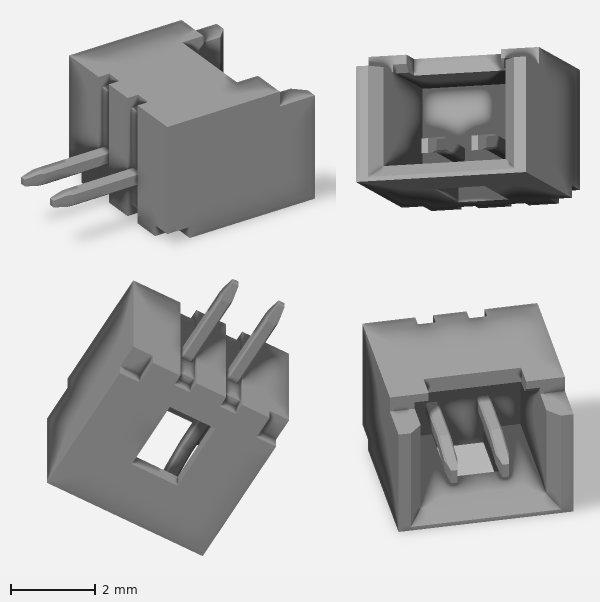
import cadquery as cq
import math


WIDTH = 4.25
DEPTH = 4.2
HEIGHT = 3.2
STEP_DEPTH = 1.0
STEP_HEIGHT = 0.4
WINDOW_WIDTH = 2.365
WINDOW_DEPTH = 1.6
FOOT_NOTCH_WIDTH = 0.53
FOOT_NOTCH_DEPTH = 0.64
FOOT_NOTCH_HEIGHT = 0.3

CAVITY_WIDTH = 3.05
FLOOR = 0.4
CAVITY_TOP = HEIGHT - STEP_HEIGHT
REAR_WALL = 0.9
MOUTH_CHAMFER = 0.3
ROOF_CHAMFER = 0.18
SLOT_START = 1.45

PITCH = 1.25
PIN_X = [-PITCH / 2, PITCH / 2]
PIN_Z = 1.15
PIN_LENGTH = 5.8
PIN_TIP_SETBACK = 0.7
PIN_WIDTH = 0.32
PIN_HEIGHT = 0.36
PIN_EDGE_CHAMFER = 0.045
TIP_WIDTH = 0.16
TIP_HEIGHT = 0.18
REAR_TIP_LENGTH = 0.5
FRONT_TIP_LENGTH = 0.4
BEND_Y = 2.34
BEND_ANGLE = 11.5
PIN_FRONT = DEPTH - PIN_TIP_SETBACK
PIN_REAR = PIN_FRONT - PIN_LENGTH
BEND_DROP = (PIN_FRONT - BEND_Y) * math.tan(math.radians(BEND_ANGLE))

GROOVE_WIDTH = 0.435
GROOVE_DEPTH = 0.3
STRIP_RECESS = 0.1
STRIP_END_GAP = 0.3


def block(x_range, y_range, z_range):
    """Box spanning the given (low, high) ranges."""
    (x0, x1), (y0, y1), (z0, z1) = x_range, y_range, z_range
    return cq.Workplane("XY").box(x1 - x0, y1 - y0, z1 - z0, centered=False).translate((x0, y0, z0))


def centered(width, middle=0):
    """Range of the given width about a middle value."""
    return (middle - width / 2, middle + width / 2)


def make_cavity():
    """Space inside the shroud, flared at the mouth and along the front edge of the roof."""
    pocket = block(centered(CAVITY_WIDTH), (REAR_WALL, DEPTH), (FLOOR, CAVITY_TOP))
    mouth_height = CAVITY_TOP - FLOOR
    middle_z = (CAVITY_TOP + FLOOR) / 2
    mouth = (
        cq.Workplane("XZ", origin=(0, DEPTH, middle_z))
        .rect(CAVITY_WIDTH + 2 * MOUTH_CHAMFER, mouth_height + 2 * MOUTH_CHAMFER)
        .workplane(offset=MOUTH_CHAMFER)
        .rect(CAVITY_WIDTH, mouth_height)
        .loft(ruled=True)
    )
    step_y = DEPTH - STEP_DEPTH
    roof_lead_in = (
        cq.Workplane("YZ", origin=(-CAVITY_WIDTH / 2, 0, 0))
        .moveTo(step_y, CAVITY_TOP)
        .lineTo(step_y, CAVITY_TOP + ROOF_CHAMFER)
        .lineTo(step_y - ROOF_CHAMFER, CAVITY_TOP)
        .close()
        .extrude(CAVITY_WIDTH)
    )
    return pocket.union(mouth).union(roof_lead_in)


def make_pin(x):
    """Bar with chamfered edges whose front end leans down, tapered at both tips."""
    def section(y, z):
        half_width, half_height, cut = PIN_WIDTH / 2, PIN_HEIGHT / 2, PIN_EDGE_CHAMFER
        corners = [
            (half_width, half_height - cut),
            (half_width - cut, half_height),
            (cut - half_width, half_height),
            (-half_width, half_height - cut),
            (-half_width, cut - half_height),
            (cut - half_width, -half_height),
            (half_width - cut, -half_height),
            (half_width, cut - half_height),
        ]
        points = [cq.Vector(x + dx, y, z + dz) for dx, dz in corners]
        return cq.Wire.makePolygon(points, close=True)

    tail = cq.Solid.makeLoft([section(PIN_REAR, PIN_Z), section(BEND_Y, PIN_Z)], True)
    lean = cq.Solid.makeLoft([section(BEND_Y, PIN_Z), section(PIN_FRONT, PIN_Z - BEND_DROP)], True)
    bar = cq.Workplane(obj=tail).union(cq.Workplane(obj=lean))

    plan = cq.Workplane("XY", origin=(x, 0, 0)).polyline([
        (-TIP_WIDTH / 2, PIN_REAR),
        (TIP_WIDTH / 2, PIN_REAR),
        (PIN_WIDTH / 2, PIN_REAR + REAR_TIP_LENGTH),
        (PIN_WIDTH / 2, PIN_FRONT - FRONT_TIP_LENGTH),
        (TIP_WIDTH / 2, PIN_FRONT),
        (-TIP_WIDTH / 2, PIN_FRONT),
        (-PIN_WIDTH / 2, PIN_FRONT - FRONT_TIP_LENGTH),
        (-PIN_WIDTH / 2, PIN_REAR + REAR_TIP_LENGTH),
    ]).close().extrude(HEIGHT)
    bar = bar.intersect(plan)

    for side in (-1, 1):
        wedge = cq.Workplane("YZ", origin=(x - PIN_WIDTH / 2, 0, PIN_Z)).polyline([
            (PIN_REAR, side * TIP_HEIGHT / 2),
            (PIN_REAR + REAR_TIP_LENGTH, side * PIN_HEIGHT / 2),
            (PIN_REAR, side * PIN_HEIGHT / 2),
        ]).close().extrude(PIN_WIDTH)
        bar = bar.cut(wedge)
    return bar


def make_strip(x, pin):
    """Strip filling the bottom of a rear groove, with the pin passing through it."""
    strip = block(
        centered(GROOVE_WIDTH, x), (STRIP_RECESS, GROOVE_DEPTH), (STRIP_END_GAP, HEIGHT - STRIP_END_GAP)
    )
    return strip.cut(pin)


def make_housing(pins):
    """Shroud with its cavity, cutouts, rear grooves and pin holes."""
    housing = block(centered(WIDTH), (0, DEPTH), (0, HEIGHT))

    housing = housing.cut(block(centered(WIDTH), (DEPTH - STEP_DEPTH, DEPTH), (CAVITY_TOP, HEIGHT)))
    housing = housing.cut(block(centered(WINDOW_WIDTH), (DEPTH - WINDOW_DEPTH, DEPTH), (CAVITY_TOP, HEIGHT)))

    housing = housing.cut(make_cavity())
    housing = housing.cut(block(centered(PITCH), (REAR_WALL, DEPTH - SLOT_START), (0, FLOOR)))

    for x_range in (
        (-WIDTH / 2, -WIDTH / 2 + FOOT_NOTCH_WIDTH),
        (WIDTH / 2 - FOOT_NOTCH_WIDTH, WIDTH / 2),
    ):
        housing = housing.cut(block(x_range, (0, FOOT_NOTCH_DEPTH), (0, FOOT_NOTCH_HEIGHT)))

    for x, pin in zip(PIN_X, pins):
        housing = housing.cut(block(centered(GROOVE_WIDTH, x), (0, GROOVE_DEPTH), (0, HEIGHT)))
        housing = housing.cut(pin)
    return housing


pins = [make_pin(x) for x in PIN_X]
strips = [make_strip(x, pin) for x, pin in zip(PIN_X, pins)]
housing = make_housing(pins)

bodies = [housing, *pins, *strips]
result = cq.Compound.makeCompound([body.solids().val() for body in bodies])